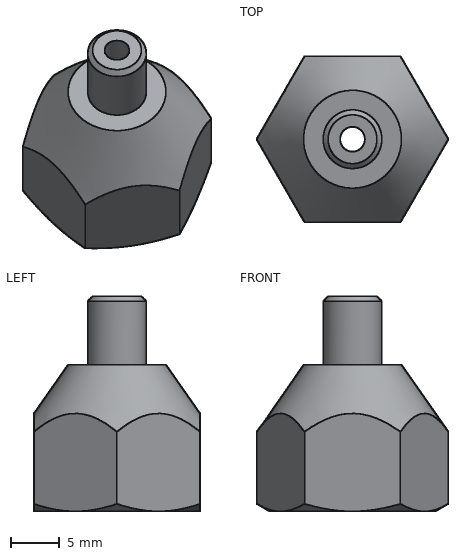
import cadquery as cq
import math

total_height = 22.0
across_flats = 17.0
flat_top_height = 10.0
shoulder_height = 15.0
shoulder_diameter = 10.0
pin_diameter = 6.0
pin_chamfer = 0.5
bore_diameter = 2.5
bottom_chamfer_angle = 30.0

flat_radius = across_flats / 2
corner_radius = flat_radius / math.cos(math.radians(30))
corner_overhang = corner_radius - flat_radius
shoulder_radius = shoulder_diameter / 2
cone_slope = (shoulder_height - flat_top_height) / (flat_radius - shoulder_radius)
corner_top_height = flat_top_height - corner_overhang * cone_slope
corner_bottom_height = corner_overhang * math.tan(math.radians(bottom_chamfer_angle))


def hexagonal_body():
    """Hexagon with corners on X, trimmed by the upper cone and bottom chamfer."""
    hexagon = cq.Workplane("XY").polygon(6, 2 * corner_radius).extrude(shoulder_height)
    turned_envelope = (
        cq.Workplane("XZ")
        .moveTo(0, 0)
        .lineTo(flat_radius, 0)
        .lineTo(corner_radius, corner_bottom_height)
        .lineTo(corner_radius, corner_top_height)
        .lineTo(shoulder_radius, shoulder_height)
        .lineTo(0, shoulder_height)
        .close()
        .revolve(360, (0, 0, 0), (0, 1, 0))
    )
    return hexagon.intersect(turned_envelope)


def pin():
    """Cylindrical pin on the shoulder, chamfered at its tip."""
    return (
        cq.Workplane("XY", origin=(0, 0, shoulder_height))
        .circle(pin_diameter / 2)
        .extrude(total_height - shoulder_height)
        .faces(">Z")
        .edges()
        .chamfer(pin_chamfer)
    )


def through_bore():
    return cq.Workplane("XY").circle(bore_diameter / 2).extrude(total_height)


result = hexagonal_body().union(pin()).cut(through_bore())